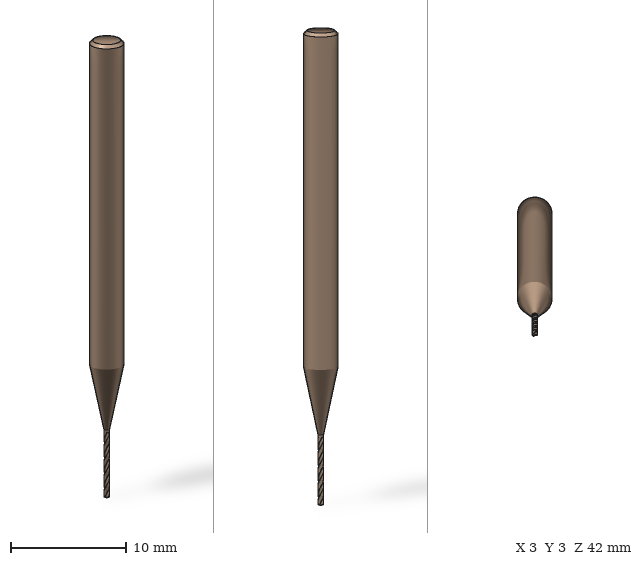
import cadquery as cq

total_length = 42.0

shank_diameter = 3.0
shank_chamfer = 0.3
shank_start_z = 12.25

drill_diameter = 0.5
drill_length = 6.3
point_height = 0.13

flute_count = 2
flute_pitch = 2.77
flute_diameter = 0.35
web_thickness = 0.15
flute_end_z = 6.05
flute_start_angle = 90.0
cutter_overrun = 0.1


def make_shank():
    """Round shank with a chamfered top and a long taper down to the drill diameter."""
    radius = shank_diameter / 2
    outline = [
        (0, drill_length),
        (drill_diameter / 2, drill_length),
        (radius, shank_start_z),
        (radius, total_length - shank_chamfer),
        (radius - shank_chamfer, total_length),
        (0, total_length),
    ]
    return cq.Workplane("XZ").polyline(outline).close().revolve(360, (0, 0), (0, 1))


def make_drill_blank():
    """Plain round rod with a conical point at the bottom."""
    radius = drill_diameter / 2
    outline = [(0, 0), (radius, point_height), (radius, drill_length), (0, drill_length)]
    return cq.Workplane("XZ").polyline(outline).close().revolve(360, (0, 0), (0, 1))


def make_flute_cutter(start_angle):
    """Round cutter swept in a right-handed helix beside the drill's web."""
    cutter_length = flute_end_z + cutter_overrun
    twist_angle = 360 * cutter_length / flute_pitch
    cutter_offset = (web_thickness + flute_diameter) / 2
    return (
        cq.Workplane("XY")
        .center(cutter_offset, 0)
        .circle(flute_diameter / 2)
        .center(-cutter_offset, 0)
        .twistExtrude(cutter_length, twist_angle)
        .rotate((0, 0, 0), (0, 0, 1), start_angle)
        .translate((0, 0, -cutter_overrun))
    )


def make_drill():
    """Twist drill: the pointed rod with evenly spaced helical flutes."""
    drill = make_drill_blank()
    for index in range(flute_count):
        drill = drill.cut(make_flute_cutter(flute_start_angle + index * 360 / flute_count))
    return drill


shank = make_shank()
drill = make_drill()

result = cq.Compound.makeCompound([shank.val(), *drill.vals()])